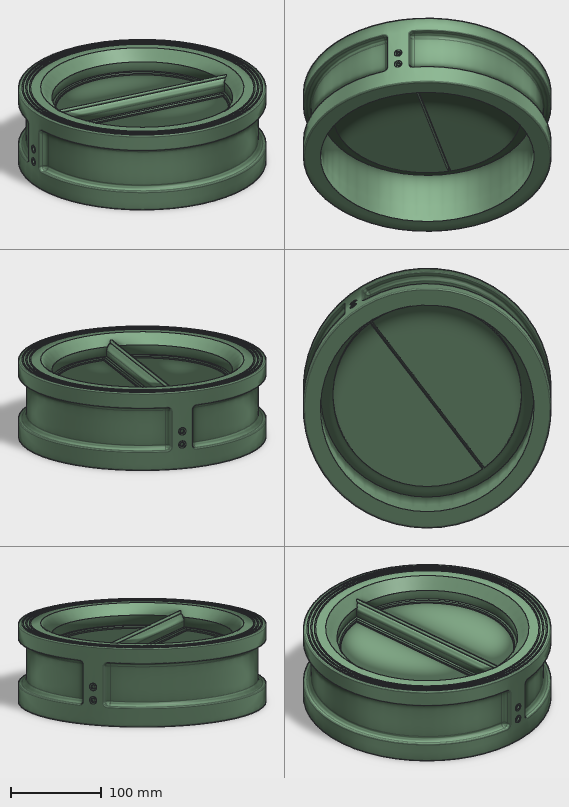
import cadquery as cq
import math


outer_diameter = 273.0
outer_radius = outer_diameter / 2
height = 89.0
top_z = height / 2
bottom_z = -height / 2
rim_round = 1.5

mouth_radius = 112.0
throat_radius = 99.5
throat_z = 33.0
seat_top_z = 22.0
seat_bottom_z = 19.0
bore_diameter = 235.0

groove_width = 1.5
inner_groove_radius = 123.7
groove_pitch = 4.0
groove_count = 3

window_radius = 95.3
window_straight_x = 12.5
arc_bevel_width = 1.0
straight_bevel_width = 1.6
bevel_depth = 1.5

bridge_diameter = 15.0
bridge_round_z = 28.7
crest_width = 4.0
crest_tip_z = 38.5

waist_radius = 127.8
waist_top_z = 26.8
waist_bottom_z = -22.7
boss_width = 24.5
waist_fillet = 5.0
waist_edge_round = 0.8

flap_radius = 103.7
flap_gap = 2.7
flap_thickness = 6.8

plug_diameter = 8.5
plug_length = 11.0
plug_face_y = 136.2
plug_heights = (-1.5, -16.5)
socket_diameter = 5.0
socket_depth = 2.7


def disc(radius, low_z, high_z):
    return cq.Workplane("XY", origin=(0, 0, low_z)).circle(radius).extrude(high_z - low_z)


def half_disc(radius, straight_x, side, z):
    """Closed D outline at height z: the part of a disc beyond straight_x on the +X or -X side."""
    end_y = math.sqrt(radius**2 - straight_x**2)
    return (
        cq.Workplane("XY", origin=(0, 0, z))
        .moveTo(side * straight_x, -end_y)
        .threePointArc((side * radius, 0), (side * straight_x, end_y))
        .close()
    )


def make_body():
    """Ring with a conical mouth, a straight throat, a closed seat plate and the flap bore."""
    mouth_section = (
        cq.Workplane("XZ")
        .moveTo(0, top_z)
        .lineTo(mouth_radius, top_z)
        .lineTo(throat_radius, throat_z)
        .lineTo(throat_radius, seat_top_z)
        .lineTo(0, seat_top_z)
        .close()
    )
    mouth = mouth_section.revolve(360, (0, 0), (0, 1))
    body = disc(outer_radius, bottom_z, top_z).edges().fillet(rim_round)
    return body.cut(mouth).cut(disc(bore_diameter / 2, bottom_z, seat_bottom_z))


def make_bridge():
    """Bar along Y that spans the throat and ends inside the housing wall."""
    bar_radius = bridge_diameter / 2
    crest_half = crest_width / 2
    shoulder_z = bridge_round_z + math.sqrt(bar_radius**2 - crest_half**2)
    crest_round_z = crest_tip_z - crest_half
    shoulder_middle = math.radians(45)
    arc_x = bar_radius * math.cos(shoulder_middle)
    arc_z = bridge_round_z + bar_radius * math.sin(shoulder_middle)
    section = (
        cq.Workplane("XZ")
        .moveTo(-bar_radius, seat_bottom_z)
        .lineTo(bar_radius, seat_bottom_z)
        .lineTo(bar_radius, bridge_round_z)
        .threePointArc((arc_x, arc_z), (crest_half, shoulder_z))
        .lineTo(crest_half, crest_round_z)
        .threePointArc((0, crest_tip_z), (-crest_half, crest_round_z))
        .lineTo(-crest_half, shoulder_z)
        .threePointArc((-arc_x, arc_z), (-bar_radius, bridge_round_z))
        .close()
    )
    bar = section.extrude(mouth_radius, both=True)
    return bar.intersect(disc(mouth_radius, seat_bottom_z, top_z))


def make_window(side):
    """Cutter for one D window with a bevelled upper edge."""
    bevel_z = seat_top_z - bevel_depth
    wide_radius = window_radius + arc_bevel_width
    wide_straight_x = window_straight_x - straight_bevel_width
    opening = half_disc(window_radius, window_straight_x, side, seat_bottom_z)
    bevel_bottom = half_disc(window_radius, window_straight_x, side, bevel_z).val()
    bevel_top = half_disc(wide_radius, wide_straight_x, side, seat_top_z).val()
    bevel = cq.Solid.makeLoft([bevel_bottom, bevel_top], True)
    return opening.extrude(bevel_z - seat_bottom_z).union(cq.Workplane(bevel))


def make_groove(radius):
    return (
        cq.Workplane("XZ", origin=(0, 0, top_z))
        .center(radius, 0)
        .circle(groove_width / 2)
        .revolve(360, (-radius, 0), (-radius, 1))
    )


def make_waist_segment(side):
    """Cutter for the waist on the +X or -X side, with rounded floor edges and corners."""
    clear_radius = outer_radius + waist_fillet
    ring = disc(clear_radius, waist_bottom_z, waist_top_z).cut(
        disc(waist_radius, waist_bottom_z, waist_top_z)
    )
    half_space = cq.Workplane("XY").box(
        clear_radius, 2 * clear_radius, height, centered=(False, True, True)
    )
    segment = ring.intersect(half_space.translate((boss_width / 2, 0, 0)))
    floor = segment.faces(cq.selectors.NearestToPointSelector((0, 0, 0)))
    rounded_edges = floor.edges().add(segment.edges("|Y"))
    segment = rounded_edges.fillet(waist_fillet)
    return segment if side > 0 else segment.mirror("YZ")


def make_plug_hole(side, z):
    """Cylinder from inside the boss to beyond the outer surface."""
    inner_end = cq.Workplane("XZ", origin=(0, side * (plug_face_y - plug_length), z))
    return inner_end.circle(plug_diameter / 2).extrude(-side * 2 * plug_length)


def round_waist_edges(body):
    """Round the edges where the waist cuts into the outer cylinder."""
    widest_waist = 2 * (waist_radius + waist_fillet)
    outer_face = body.faces("%CYLINDER").filter(
        lambda face: face.BoundingBox().xlen > widest_waist
    )
    return outer_face.edges("not(>Z or <Z)").fillet(waist_edge_round)


def make_housing():
    body = make_body().union(make_bridge())
    for side in (-1, 1):
        body = body.cut(make_waist_segment(side))
    body = round_waist_edges(body)
    for side in (-1, 1):
        body = body.cut(make_window(side))
        for z in plug_heights:
            body = body.cut(make_plug_hole(side, z))
    for index in range(groove_count):
        body = body.cut(make_groove(inner_groove_radius + index * groove_pitch))
    return body


def make_flap(side):
    """Half-disc plate lying against the underside of the seat."""
    plate = half_disc(flap_radius, flap_gap / 2, side, seat_bottom_z - flap_thickness)
    return plate.extrude(flap_thickness)


def make_plug(side, z):
    """Screw plug with a round socket; side is -1 for the -Y boss and +1 for the +Y boss."""
    face = cq.Workplane("XZ", origin=(0, side * plug_face_y, z))
    shank = face.circle(plug_diameter / 2).extrude(side * plug_length)
    socket = face.circle(socket_diameter / 2).extrude(side * socket_depth)
    return shank.cut(socket)


housing = make_housing()
flaps = [make_flap(side).val() for side in (-1, 1)]
plugs = [make_plug(side, z).val() for side in (-1, 1) for z in plug_heights]

result = cq.Compound.makeCompound([housing.val(), *flaps, *plugs])